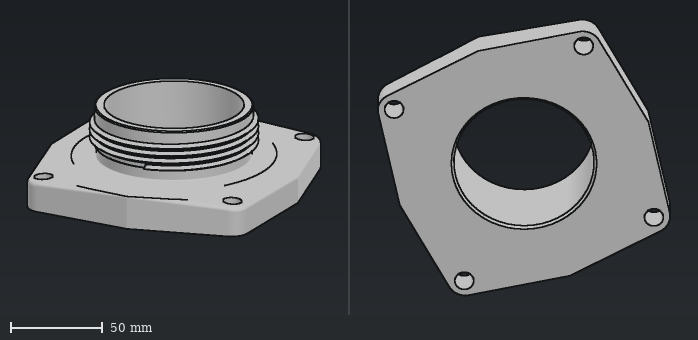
import cadquery as cq
import math

half_span = 72.2
corner_offset = 63.0
corner_radius = 10.1
flange_top = 18.8
roof_slope = 0.055
roof_start = 33.4
edge_fillet = 2.9

pad_blend = 5.8
pad_radius = 59.5 - pad_blend

hole_diameter = 10.3
hole_offset = 55.0

total_height = 47.7
bore_radius = 38.1
neck_radius = 42.5
thread_root_radius = 43.3
thread_bottom = 25.5
neck_fillet = 0.7
rim_chamfer = 0.7

bore_chamfer = 1.5

thread_crest_radius = 46.1
thread_pitch = 4.16
thread_turns = 3.75
thread_width = 3.8
thread_start = 26.0
thread_start_angle = -90.0
thread_overlap = 0.3

tolerance = 0.01


def roof_rim_edges(plate):
    """Outer edges of the two roof faces, leaving out the ridge between them."""
    def is_rim(edge):
        return edge.Center().z > flange_top / 2 and abs(edge.Center().x) > tolerance

    return [edge for edge in plate.edges("not |Z").vals() if is_rim(edge)]


def pad_foot_edges(plate, pad_height):
    """Edges where the round pad meets the roof."""
    def on_pad(point):
        return abs(math.hypot(point.x, point.y) - pad_radius) < tolerance

    def is_foot(edge):
        return on_pad(edge.positionAt(0.3)) and on_pad(edge.positionAt(0.7))

    edges = plate.edges("not |Z").vals()
    return [edge for edge in edges if is_foot(edge) and edge.Center().z < pad_height - tolerance]


def make_flange():
    """Flange with two sloped tops, rounded edges, and a flat middle with a blended pad."""
    ridge = flange_top + roof_slope * roof_start
    outline = [
        (half_span, 0),
        (corner_offset, corner_offset),
        (0, half_span),
        (-corner_offset, corner_offset),
        (-half_span, 0),
        (-corner_offset, -corner_offset),
        (0, -half_span),
        (corner_offset, -corner_offset),
    ]
    plate = cq.Workplane("XY").polyline(outline).close().extrude(ridge)
    for x in (-corner_offset, corner_offset):
        for y in (-corner_offset, corner_offset):
            corner = cq.selectors.NearestToPointSelector((x, y, ridge / 2))
            plate = plate.edges(corner).fillet(corner_radius)

    eave = ridge - roof_slope * half_span
    roof = (
        cq.Workplane("XZ")
        .polyline([(-half_span, 0), (half_span, 0), (half_span, eave), (0, ridge), (-half_span, eave)])
        .close()
        .extrude(half_span, both=True)
    )
    plate = plate.intersect(roof)
    plate = plate.newObject(roof_rim_edges(plate)).fillet(edge_fillet)

    pad_height = ridge + 2 * pad_blend
    plate = plate.union(cq.Workplane("XY").circle(pad_radius).extrude(pad_height))
    plate = plate.newObject(pad_foot_edges(plate, pad_height)).fillet(pad_blend)

    slab = cq.Workplane("XY").rect(2 * half_span, 2 * half_span).extrude(flange_top)
    return plate.intersect(slab)


def make_neck():
    """Solid neck with a filleted foot, a step under the thread and a chamfered rim."""
    return (
        cq.Workplane("XZ")
        .lineTo(neck_radius + neck_fillet, 0)
        .lineTo(neck_radius + neck_fillet, flange_top)
        .radiusArc((neck_radius, flange_top + neck_fillet), neck_fillet)
        .lineTo(neck_radius, thread_bottom)
        .lineTo(thread_root_radius, thread_bottom)
        .lineTo(thread_root_radius, total_height - rim_chamfer)
        .lineTo(thread_root_radius - rim_chamfer, total_height)
        .lineTo(0, total_height)
        .close()
        .revolve(360, (0, 0, 0), (0, 1, 0))
    )


def make_thread():
    """Helical ridge, trimmed flat where it would hang below the step."""
    inner_radius = thread_root_radius - thread_overlap
    helix = cq.Wire.makeHelix(thread_pitch, thread_pitch * thread_turns, thread_root_radius)
    profile = [
        (inner_radius, -thread_width / 2),
        (thread_crest_radius, 0),
        (inner_radius, thread_width / 2),
    ]
    ridge = (
        cq.Workplane("XZ")
        .polyline(profile)
        .close()
        .sweep(cq.Workplane(obj=helix), isFrenet=True)
        .rotate((0, 0, 0), (0, 0, 1), thread_start_angle)
        .translate((0, 0, thread_start))
    )
    band = (
        cq.Workplane("XY")
        .workplane(offset=thread_bottom)
        .circle(2 * thread_crest_radius)
        .extrude(total_height - thread_bottom)
    )
    return ridge.intersect(band)


body = make_flange().union(make_neck()).union(make_thread())
bore = cq.Workplane("XY").circle(bore_radius).extrude(total_height)
bore_flare = cq.Solid.makeCone(bore_radius + bore_chamfer, bore_radius, bore_chamfer)
holes = (
    cq.Workplane("XY")
    .rect(2 * hole_offset, 2 * hole_offset, forConstruction=True)
    .vertices()
    .circle(hole_diameter / 2)
    .extrude(total_height)
)
result = body.cut(bore).cut(cq.Workplane(obj=bore_flare)).cut(holes)